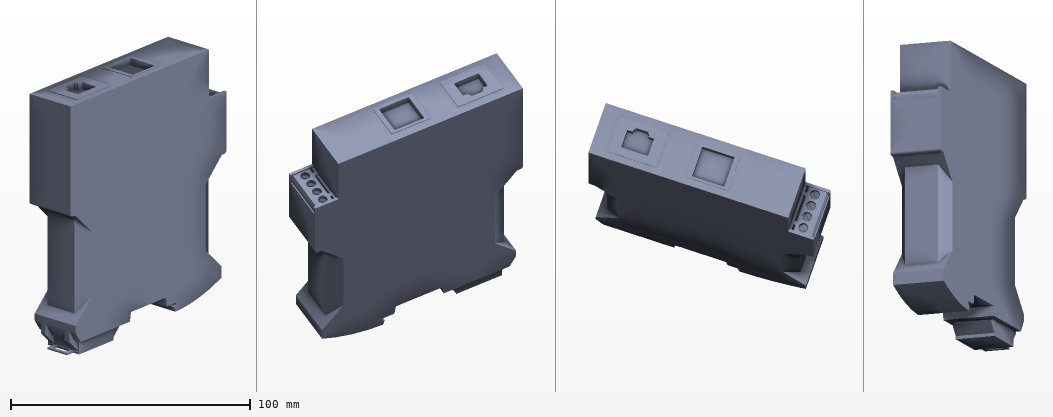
import cadquery as cq


width = 22.6
depth = 99.0
height = 114.2
half_width = width / 2
half_depth = depth / 2

panel_height = 0.3
top_z = height - panel_height
terminal_y = 38.5
terminal_z = 92.0
shoulder_z = 64.4
shoulder_radius = 1.1
shoulder_flat_y = 46.6
waist_y = 36.1
waist_top_z = shoulder_z - (shoulder_flat_y - waist_y)
waist_bottom_z = 25.0
base_y = 46.3
base_z = waist_bottom_z - (base_y - waist_y)
floor_z = 6.9
rail_half_width = 11.1
rail_flare = 0.7
rail_z = 11.0

foot_back_z = 9.6
foot_mid = (32.0, 4.8)
foot_tip = (17.2, 2.9)
hook_point = (16.3, 5.1)
hook_y = 17.6
hook_notch_z = 5.7

core_y = 42.6
core_half_width = 7.4
core_bottom_z = waist_bottom_z - (core_y - waist_y)
core_top_z = waist_top_z + (core_y - waist_y)

latch_half_width = 8.7
latch_wall = 0.8
latch_front_y = -41.0
latch_back_y = -19.2
latch_tooth = (-15.1, 5.6)
latch_tooth_top = (-17.6, 6.4)
latch_step_z = 1.4
latch_recess_depth = 3.4
pull_half_width = 5.5
pull_front_y = -45.0
pull_front_bar = 1.5
pull_side_bar = 1.9

bevel_top_z = 11.6
bevel_bottom_y = -43.0
bevel_slope = (bevel_top_z - floor_z) / (base_y + bevel_bottom_y)
rib_inner_x = 5.3
rib_outer_x = latch_half_width - latch_wall
lip_z = 5.6
lip_y = -base_y + (bevel_top_z - lip_z) / bevel_slope

deck_wall = 1.3
deck_drop = 0.8
deck_half_width = half_width - deck_wall
deck_setback = 0.5
deck_bevel_width = 0.8
deck_bevel_height = 1.6
deck_ledge_depth = 3.4
deck_z = terminal_z - deck_drop
screw_count = 4
screw_pitch = 5.0
screw_y = 43.9
screw_radius = 2.0
screw_recess = 1.9
screw_slot_width = 0.6
screw_slot_depth = 0.5
screw_slot_angle = 45
groove_back_y = 40.5
groove_knee_y = 40.1
groove_knee_depth = 0.7
groove_front_y = 39.4
groove_depth = 2.9
groove_half_width = 5.8
side_groove_x = 7.4
shelf_drop = 0.6

panel_x = (-7.5, 8.3)
window_panel_y = (-7.2, 11.0)
window_x = (-6.3, 7.2)
window_y = (-5.3, 8.9)
jack_panel_y = (-42.0, -20.7)
jack_x = (-3.1, 4.8)
jack_y = (-37.2, -25.5)
jack_tab_x = -5.0
jack_tab_y = (-34.0, -28.5)
jack_step_x = -4.2
jack_step_y = (-34.7, -27.9)
socket_depth = 3.3


def block(x_range, y_range, z_range):
    """Axis-aligned box between the given limits."""
    size = [limits[1] - limits[0] for limits in (x_range, y_range, z_range)]
    corner = (x_range[0], y_range[0], z_range[0])
    return cq.Workplane("XY").box(*size, centered=False).translate(corner)


def profile_solid(points, x_range):
    """Closed (y, z) polygon extruded between two X positions."""
    sketch = cq.Workplane("YZ", origin=(x_range[0], 0, 0)).polyline(points).close()
    return sketch.extrude(x_range[1] - x_range[0])


def make_housing():
    """Side profile of the case, rail recess and curved rear foot included."""
    round_start_y = half_depth - shoulder_radius
    round_start_z = shoulder_z + shoulder_radius
    outline = (
        cq.Workplane("YZ", origin=(-half_width, 0, 0))
        .moveTo(-half_depth, top_z)
        .lineTo(terminal_y, top_z)
        .lineTo(terminal_y, terminal_z)
        .lineTo(half_depth, terminal_z)
        .lineTo(half_depth, round_start_z)
        .radiusArc((round_start_y, shoulder_z), shoulder_radius)
        .lineTo(shoulder_flat_y, shoulder_z)
        .lineTo(waist_y, waist_top_z)
        .lineTo(waist_y, waist_bottom_z)
        .lineTo(base_y, base_z)
        .lineTo(base_y, foot_back_z)
        .threePointArc(foot_mid, foot_tip)
        .lineTo(*hook_point)
        .lineTo(hook_y, hook_notch_z)
        .lineTo(hook_y, floor_z)
        .lineTo(rail_half_width + rail_flare, floor_z)
        .lineTo(rail_half_width, rail_z)
        .lineTo(-rail_half_width, rail_z)
        .lineTo(-rail_half_width - rail_flare, floor_z)
        .lineTo(-base_y, floor_z)
        .lineTo(-base_y, base_z)
        .lineTo(-waist_y, waist_bottom_z)
        .lineTo(-waist_y, waist_top_z)
        .lineTo(-shoulder_flat_y, shoulder_z)
        .lineTo(-round_start_y, shoulder_z)
        .radiusArc((-half_depth, round_start_z), shoulder_radius)
        .close()
    )
    return outline.extrude(width)


def make_core():
    """Column with bevelled edges that fills the waist at both ends."""
    plan = [
        (-half_width, -waist_y),
        (-core_half_width, -core_y),
        (core_half_width, -core_y),
        (half_width, -waist_y),
        (half_width, waist_y),
        (core_half_width, core_y),
        (-core_half_width, core_y),
        (-half_width, waist_y),
    ]
    sketch = cq.Workplane("XY", origin=(0, 0, core_bottom_z)).polyline(plan).close()
    return sketch.extrude(core_top_z - core_bottom_z)


def make_front_bevels():
    """Cutters for the sloped pockets beside and between the two ribs."""
    bevel = [(-base_y, bevel_top_z), (-base_y, floor_z), (bevel_bottom_y, floor_z)]
    cutter = profile_solid(bevel, (-rib_inner_x, rib_inner_x))
    cutter = cutter.union(profile_solid(bevel, (-half_width, -rib_outer_x)))
    return cutter.union(profile_solid(bevel, (rib_outer_x, half_width)))


def make_latch():
    """Latch slider with a recessed front and a pull loop."""
    profile = [
        (latch_front_y, 0),
        (latch_back_y, 0),
        (latch_back_y, latch_step_z),
        latch_tooth,
        latch_tooth_top,
        (latch_tooth_top[0], floor_z),
        (latch_front_y, floor_z),
    ]
    slider = profile_solid(profile, (-latch_half_width, latch_half_width))
    recess_y = latch_front_y + latch_recess_depth
    recess = block((-rib_outer_x, rib_outer_x), (latch_front_y, recess_y), (latch_wall, floor_z))
    loop = block((-pull_half_width, pull_half_width), (pull_front_y, latch_front_y), (0, latch_wall))
    opening_half_width = pull_half_width - pull_side_bar
    opening_y = (pull_front_y + pull_front_bar, latch_front_y)
    opening = block((-opening_half_width, opening_half_width), opening_y, (0, latch_wall))
    return slider.cut(recess).union(loop.cut(opening))


def make_latch_guide():
    """Two 45 degree ribs and the tongue between them, reaching down into the latch."""
    back_y = latch_front_y + latch_recess_depth
    rib_toe_y = -base_y + (floor_z - latch_step_z)
    rib = [(-base_y, floor_z), (rib_toe_y, latch_step_z), (back_y, latch_step_z), (back_y, floor_z)]
    tongue_profile = [
        (bevel_bottom_y, floor_z),
        (lip_y, lip_z),
        (latch_front_y, lip_z),
        (latch_front_y, latch_step_z),
        (back_y, latch_step_z),
        (back_y, floor_z),
    ]
    tongue = profile_solid(tongue_profile, (-rib_inner_x, rib_inner_x))
    left_rib = profile_solid(rib, (-rib_outer_x, -rib_inner_x))
    right_rib = profile_solid(rib, (rib_inner_x, rib_outer_x))
    return tongue.union(left_rib).union(right_rib)


def make_deck_cutter():
    """Space above the lowered deck, with its bevelled rear edge and the ledge behind it."""
    back_y = half_depth - deck_setback
    profile = [
        (terminal_y, terminal_z),
        (terminal_y, deck_z),
        (back_y - deck_bevel_width, deck_z),
        (back_y, deck_z - deck_bevel_height),
        (back_y, deck_z - deck_ledge_depth),
        (half_depth, deck_z - deck_ledge_depth),
        (half_depth, terminal_z),
    ]
    return profile_solid(profile, (-deck_half_width, deck_half_width))


def make_screw_cutter(x):
    """Round screw recess with a diagonal driver slot in its floor."""
    recess_z = deck_z - screw_recess
    recess = cq.Workplane("XY", origin=(x, screw_y, recess_z)).circle(screw_radius).extrude(screw_recess)
    slot_plane = cq.Workplane("XY", origin=(x, screw_y, recess_z))
    slot = slot_plane.transformed(rotate=(0, 0, screw_slot_angle)).slot2D(2 * screw_radius, screw_slot_width)
    return recess.union(slot.extrude(-screw_slot_depth))


def make_groove_cutter():
    """Grooves in front of the screws; the middle one opens onto a shallow shelf."""
    groove = [
        (groove_front_y, deck_z),
        (groove_front_y, deck_z - groove_depth),
        (groove_knee_y, deck_z - groove_knee_depth),
        (groove_back_y, deck_z),
    ]
    middle_x = (-groove_half_width, groove_half_width)
    cutter = profile_solid(groove, middle_x)
    cutter = cutter.union(block(middle_x, (terminal_y, groove_front_y), (deck_z - shelf_drop, deck_z)))
    for x_range in ((-deck_half_width, -side_groove_x), (side_groove_x, deck_half_width)):
        cutter = cutter.union(profile_solid(groove, x_range))
    return cutter


def make_socket_cutters():
    """Rectangular window and the stepped opening of the jack."""
    socket_z = (height - socket_depth, height)
    window = block(window_x, window_y, socket_z)
    jack = block(jack_x, jack_y, socket_z)
    step = block((jack_step_x, jack_x[0]), jack_step_y, socket_z)
    tab = block((jack_tab_x, jack_step_x), jack_tab_y, socket_z)
    return window.union(jack).union(step).union(tab)


result = make_housing().union(make_core())
result = result.cut(make_front_bevels())
result = result.union(make_latch()).union(make_latch_guide())

result = result.cut(make_deck_cutter()).cut(make_groove_cutter())
for index in range(screw_count):
    screw_x = (index - (screw_count - 1) / 2) * screw_pitch
    result = result.cut(make_screw_cutter(screw_x))

for panel_y in (window_panel_y, jack_panel_y):
    result = result.union(block(panel_x, panel_y, (top_z, height)))
result = result.cut(make_socket_cutters())